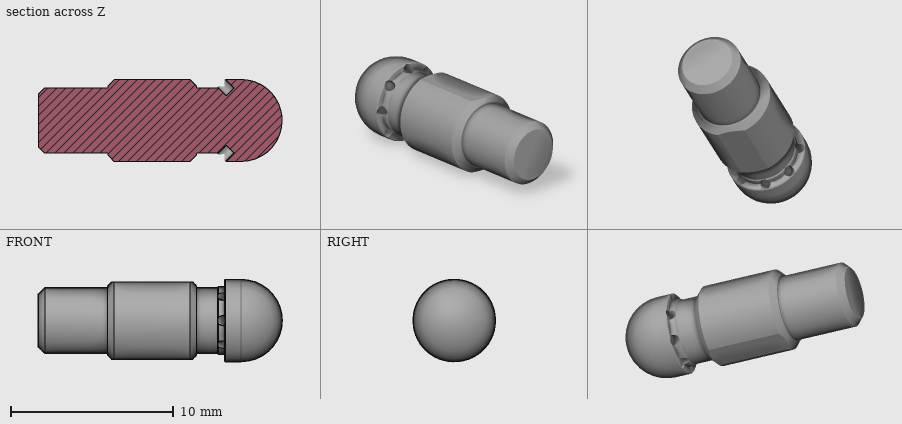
import cadquery as cq
import math

OVERALL_LENGTH = 15.04
BODY_START = 4.28
BODY_LENGTH = 5.48
COLLAR_START = 11.05
HEAD_START = 11.48

SHANK_DIAMETER = 4.06
BODY_DIAMETER = 5.08
COLLAR_DIAMETER = 4.23

MAIN_CHAMFER = 0.406
COLLAR_CHAMFER = 0.07
HEAD_CHAMFER = 0.06

ACROSS_FLATS = 4.77

JET_COUNT = 8
JET_DIAMETER = 0.66
JET_ANGLE = 45.0
JET_MOUTH_X = 11.46
JET_MOUTH_RADIUS = 2.12
JET_DEPTH = 0.5
JET_CLEARANCE = 0.6

SHANK_RADIUS = SHANK_DIAMETER / 2
BODY_RADIUS = BODY_DIAMETER / 2
COLLAR_RADIUS = COLLAR_DIAMETER / 2
BODY_END = BODY_START + BODY_LENGTH
DOME_START = OVERALL_LENGTH - BODY_RADIUS


def make_turned_part():
    """Revolve the half profile, dome included, about the X axis."""
    dome_mid_offset = BODY_RADIUS * math.sin(math.radians(45))
    profile = (
        cq.Workplane("XY")
        .lineTo(0, SHANK_RADIUS - MAIN_CHAMFER)
        .lineTo(MAIN_CHAMFER, SHANK_RADIUS)
        .lineTo(BODY_START, SHANK_RADIUS)
        .lineTo(BODY_START, BODY_RADIUS - MAIN_CHAMFER)
        .lineTo(BODY_START + MAIN_CHAMFER, BODY_RADIUS)
        .lineTo(BODY_END - MAIN_CHAMFER, BODY_RADIUS)
        .lineTo(BODY_END, BODY_RADIUS - MAIN_CHAMFER)
        .lineTo(BODY_END, SHANK_RADIUS)
        .lineTo(COLLAR_START, SHANK_RADIUS)
        .lineTo(COLLAR_START + COLLAR_CHAMFER, COLLAR_RADIUS)
        .lineTo(HEAD_START, COLLAR_RADIUS)
        .lineTo(HEAD_START, BODY_RADIUS - HEAD_CHAMFER)
        .lineTo(HEAD_START + HEAD_CHAMFER, BODY_RADIUS)
        .lineTo(DOME_START, BODY_RADIUS)
        .threePointArc(
            (DOME_START + dome_mid_offset, dome_mid_offset),
            (OVERALL_LENGTH, 0),
        )
        .close()
    )
    return profile.revolve(360, (0, 0, 0), (1, 0, 0))


def cut_wrench_flats(part):
    """Trim the top and bottom of the body to two parallel flats."""
    cutter_height = BODY_RADIUS
    for side in (1, -1):
        cutter = cq.Workplane("XY").box(BODY_LENGTH, BODY_DIAMETER, cutter_height).translate(
            (BODY_START + BODY_LENGTH / 2, 0, side * (ACROSS_FLATS + cutter_height) / 2)
        )
        part = part.cut(cutter)
    return part


def cut_jet_holes(part):
    """Drill the slanted holes inward and toward the dome, evenly spaced around X."""
    slant = math.radians(JET_ANGLE)
    inward = cq.Vector(math.cos(slant), 0, -math.sin(slant))
    mouth = cq.Vector(JET_MOUTH_X, 0, JET_MOUTH_RADIUS)
    drill = cq.Solid.makeCylinder(
        JET_DIAMETER / 2,
        JET_CLEARANCE + JET_DEPTH,
        mouth - inward * JET_CLEARANCE,
        inward,
    )
    for index in range(JET_COUNT):
        angle = index * 360 / JET_COUNT
        part = part.cut(drill.rotate(cq.Vector(0, 0, 0), cq.Vector(1, 0, 0), angle))
    return part


result = cut_jet_holes(cut_wrench_flats(make_turned_part()))